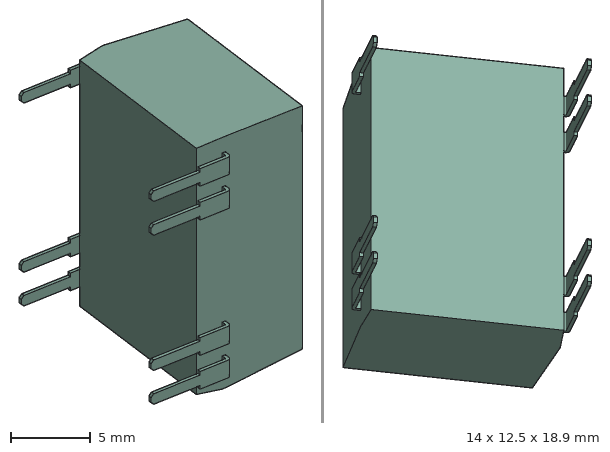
import cadquery as cq

BODY_WIDTH = 12.8
BODY_LENGTH = 18.9
FRONT_DEPTH = 1.85
FRONT_INSET = 0.2
BACK_DEPTH = 6.3
BACK_INSET = 0.32
BACK_FILLET = 0.19

LEAD_SPAN = 14.0
LEAD_THICKNESS = 0.25
INNER_BEND_RADIUS = 0.02
OUTER_BEND_RADIUS = INNER_BEND_RADIUS + LEAD_THICKNESS
LEAD_ROOT = 0.38
SHOULDER_WIDTH = 1.32
SHOULDER_STANDOFF = 0.3
SHOULDER_DEPTH = FRONT_DEPTH + SHOULDER_STANDOFF
PIN_WIDTH = 0.8
PIN_DEPTH = 5.95
PIN_TIP_CHAMFER = 0.2

ROW_LENGTH = 15.23
ROW_STEPS = 6
PITCH = ROW_LENGTH / ROW_STEPS
LEFT_STEPS = (-3, -2, 3)
RIGHT_STEPS = (-3, -2, 2, 3)


def tapered_half(start_y, end_y, inset):
    """Loft from the full body outline at start_y to a smaller one at end_y."""
    return (
        cq.Workplane("XZ", origin=(0, start_y, 0))
        .rect(BODY_WIDTH, BODY_LENGTH)
        .workplane(offset=start_y - end_y)
        .rect(BODY_WIDTH - 2 * inset, BODY_LENGTH - 2 * inset)
        .loft(ruled=True)
    )


def make_body():
    """Straight parting band with drafted halves in front and behind."""
    band = cq.Workplane("XY").box(
        BODY_WIDTH, LEAD_THICKNESS, BODY_LENGTH, centered=(True, False, True)
    )
    front = tapered_half(0, -FRONT_DEPTH, FRONT_INSET)
    back = tapered_half(LEAD_THICKNESS, BACK_DEPTH + LEAD_THICKNESS, BACK_INSET)
    back = back.faces(">Y").edges().fillet(BACK_FILLET)
    return band.union(front).union(back)


def make_right_lead():
    """L-shaped lead centred on Z = 0: a stub out of the body, then a pin toward -Y."""
    outer_x = LEAD_SPAN / 2
    inner_x = outer_x - LEAD_THICKNESS
    root_x = BODY_WIDTH / 2 - LEAD_ROOT
    bent_strip = (
        cq.Workplane("XY")
        .moveTo(root_x, 0)
        .lineTo(inner_x - INNER_BEND_RADIUS, 0)
        .radiusArc((inner_x, -INNER_BEND_RADIUS), INNER_BEND_RADIUS)
        .lineTo(inner_x, -PIN_DEPTH)
        .lineTo(outer_x, -PIN_DEPTH)
        .lineTo(outer_x, LEAD_THICKNESS - OUTER_BEND_RADIUS)
        .radiusArc((outer_x - OUTER_BEND_RADIUS, LEAD_THICKNESS), -OUTER_BEND_RADIUS)
        .lineTo(root_x, LEAD_THICKNESS)
        .close()
        .extrude(SHOULDER_WIDTH / 2, both=True)
    )

    half_shoulder = SHOULDER_WIDTH / 2
    half_pin = PIN_WIDTH / 2
    upper_edge = [
        (LEAD_THICKNESS, half_shoulder),
        (-SHOULDER_DEPTH, half_shoulder),
        (-SHOULDER_DEPTH, half_pin),
        (PIN_TIP_CHAMFER - PIN_DEPTH, half_pin),
        (-PIN_DEPTH, half_pin - PIN_TIP_CHAMFER),
    ]
    lower_edge = [(y, -z) for y, z in reversed(upper_edge)]
    side_outline = cq.Workplane("YZ").polyline(upper_edge + lower_edge).close().extrude(LEAD_SPAN)
    return bent_strip.intersect(side_outline)


right_lead = make_right_lead()
left_lead = right_lead.mirror("YZ")

result = make_body()
for lead, steps in ((right_lead, RIGHT_STEPS), (left_lead, LEFT_STEPS)):
    for step in steps:
        result = result.union(lead.translate((0, 0, step * PITCH)))